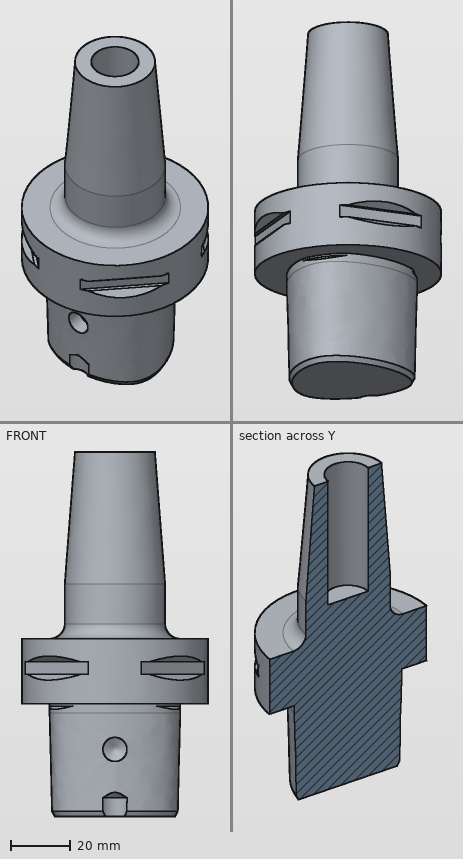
import cadquery as cq
import math

total_height = 123.0
shank_length = 38.0
flange_height = 22.0
flange_top = shank_length + flange_height
nose_cone_length = 44.5

flange_radius = 31.5
neck_radius = 17.0
nose_radius = 13.5
neck_fillet = 5.0
bore_radius = 8.0
bore_depth = 49.2

shank_mean_radius = 22.0
lobe_eccentricity = 1.0
lobe_curve_points = 36
shank_straight_length = 3.0
shank_taper = 1 / 40
end_chamfer_height = 1.8
end_chamfer_width = 1.0

relief_radius = 22.4
relief_height = 2.0
relief_straight_height = 0.7

slot_count = 4
slot_first_angle = 45.0
slot_floor_distance = 27.7
slot_floor_height = 4.2
slot_wall_depth = 1.2
slot_flare = 2.0
slot_center = shank_length + 12.0

side_hole_radius = 4.0
side_hole_height = 22.6
side_hole_depth = 6.2
side_hole_tip_half_angle = 59.0
notch_radius = 5.0
notch_height = 6.3
notch_tip_half_angle = 52.0
notch_offset = 2.0


def turned_body():
    """Flange, filleted neck and tapered nose, as one revolved profile."""
    cone_start = total_height - nose_cone_length
    arc_drop = neck_fillet * (1 - math.sqrt(0.5))
    return (
        cq.Workplane("XZ")
        .moveTo(0, shank_length)
        .lineTo(flange_radius, shank_length)
        .lineTo(flange_radius, flange_top)
        .lineTo(neck_radius + neck_fillet, flange_top)
        .threePointArc(
            (neck_radius + arc_drop, flange_top + arc_drop),
            (neck_radius, flange_top + neck_fillet),
        )
        .lineTo(neck_radius, cone_start)
        .lineTo(nose_radius, total_height)
        .lineTo(0, total_height)
        .close()
        .revolve(360, (0, 0, 0), (0, 1, 0))
    )


def lobed_section(plane, mean_radius):
    """Closed three-lobed outline with one flat toward -Y."""

    def point(step):
        angle = 2 * math.pi * step / lobe_curve_points
        toward_flat = (
            mean_radius * math.cos(angle)
            - 2 * lobe_eccentricity * math.cos(2 * angle)
            + lobe_eccentricity / 2 * math.cos(4 * angle)
        )
        sideways = (
            mean_radius * math.sin(angle)
            + 2 * lobe_eccentricity * math.sin(2 * angle)
            + lobe_eccentricity / 2 * math.sin(4 * angle)
        )
        return (sideways, -toward_flat)

    points = [point(step) for step in range(lobe_curve_points)]
    return plane.spline(points, periodic=True).close()


def lobed_frustum(bottom, top, bottom_radius, top_radius):
    """Lobed solid between two heights, with the mean radius given at each end."""
    lower = lobed_section(cq.Workplane("XY").workplane(offset=bottom), bottom_radius)
    return lobed_section(lower.workplane(offset=top - bottom), top_radius).loft(ruled=True)


def polygon_shank():
    """Straight collar, long taper and chamfered lower end."""
    straight_bottom = shank_length - shank_straight_length
    taper_length = straight_bottom - end_chamfer_height
    taper_end_radius = shank_mean_radius - shank_taper * taper_length
    end_radius = taper_end_radius - end_chamfer_width
    collar = lobed_frustum(straight_bottom, shank_length, shank_mean_radius, shank_mean_radius)
    taper = lobed_frustum(end_chamfer_height, straight_bottom, taper_end_radius, shank_mean_radius)
    chamfer = lobed_frustum(0, end_chamfer_height, end_radius, taper_end_radius)
    return collar.union(taper).union(chamfer)


def lobe_relief():
    """Ring, straight then flaring outward going down, cut from the lobes below the flange."""
    outer = relief_radius + relief_height - relief_straight_height
    return (
        cq.Workplane("XZ")
        .moveTo(relief_radius, shank_length)
        .lineTo(outer, shank_length)
        .lineTo(outer, shank_length - relief_height)
        .lineTo(relief_radius, shank_length - relief_straight_height)
        .close()
        .revolve(360, (0, 0, 0), (0, 1, 0))
    )


def gripper_slot(angle):
    """Flat-floored slot whose sides start square and then flare, cut across the flange rim."""
    floor_half = slot_floor_height / 2
    mouth_half = floor_half + slot_flare
    flare_start = slot_floor_distance + slot_wall_depth
    return (
        cq.Workplane("XZ")
        .moveTo(slot_floor_distance, slot_center - floor_half)
        .lineTo(flare_start, slot_center - floor_half)
        .lineTo(flange_radius, slot_center - mouth_half)
        .lineTo(flange_radius, slot_center + mouth_half)
        .lineTo(flare_start, slot_center + floor_half)
        .lineTo(slot_floor_distance, slot_center + floor_half)
        .close()
        .extrude(flange_radius, both=True)
        .rotate((0, 0, 0), (0, 0, 1), angle)
    )


def drill(radius, depth, tip_half_angle):
    """Drill-shaped cutter along +Z from the origin, with a conical tip past its depth."""
    tip = radius / math.tan(math.radians(tip_half_angle))
    return (
        cq.Workplane("XZ")
        .lineTo(radius, 0)
        .lineTo(radius, depth)
        .lineTo(0, depth + tip)
        .close()
        .revolve(360, (0, 0, 0), (0, 1, 0))
    )


flat_distance = shank_mean_radius - 2 * lobe_eccentricity + lobe_eccentricity / 2

shank = polygon_shank().cut(lobe_relief())
result = turned_body().union(shank)

bore = cq.Workplane("XY").workplane(offset=total_height).circle(bore_radius).extrude(-bore_depth)
result = result.cut(bore)

for index in range(slot_count):
    result = result.cut(gripper_slot(slot_first_angle + index * 360 / slot_count))

side_hole = (
    drill(side_hole_radius, side_hole_depth, side_hole_tip_half_angle)
    .rotate((0, 0, 0), (1, 0, 0), -90)
    .translate((0, -flat_distance, side_hole_height))
)
end_notch = (
    drill(notch_radius, notch_height, notch_tip_half_angle)
    .translate((0, -flat_distance - notch_offset, 0))
)
result = result.cut(side_hole).cut(end_notch)